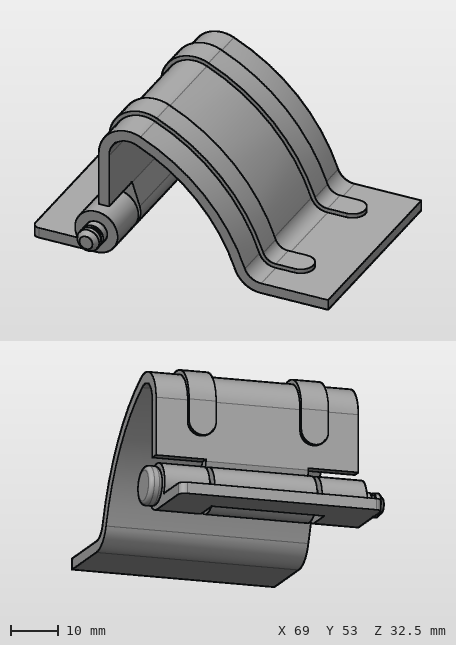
import cadquery as cq
import math


length = 69
width = 45.0
sheet = 2.4
knuckle_radius = 5.0
pin_radius = knuckle_radius - sheet
base_bottom = -knuckle_radius
base_top = base_bottom + sheet

flat_leaf_end = -15.0
corner_radius = 1.5
slot_length = 25.0
slot_end = -6.35

arched_leaf_end = flat_leaf_end + length
wall_outer = 0.55
wall_inner = wall_outer + sheet
wall_bottom = 7.0
crown_radius = 7.0
crown_center = (wall_outer + crown_radius, 19.5)
valley_radius = 4.0
valley_center = (38.35, base_top + valley_radius)
arch_radius = 44.15
center_knuckle_length = 22.8

band_height = 1.0
band_width = 6.0
band_spacing = 25.0
band_bottom = 11.95
band_end = 45.8

head_length = 3.05
head_radius = 4.2
head_fillet = 1.0
tail_length = 5.0
groove_start = 1.9
groove_length = 1.0
groove_radius = 2.1
tip_length = 1.05
tip_radius = 1.5


def along_y(profile, depth, middle=0):
    """Extrude an XZ profile to the given depth, centered on Y = middle."""
    return profile.extrude(depth / 2, both=True).translate((0, middle, 0))


def block(x_range, y_range, z_range):
    """Box given by its lower and upper limits on each axis."""
    lows, highs = zip(x_range, y_range, z_range)
    sizes = [high - low for low, high in zip(lows, highs)]
    return cq.Workplane("XY").box(*sizes, centered=False).translate(lows)


def cylinder(radius, depth):
    return along_y(cq.Workplane("XZ").circle(radius), depth)


def polar(center, radius, angle):
    """Point at an angle, in radians from +X, on a circle in the XZ plane."""
    return (center[0] + radius * math.cos(angle), center[1] + radius * math.sin(angle))


def find_arch():
    """Arch center, tangent to the crown inside it and to the valley outside it.

    Also returns the angles, seen from that center, where it meets each of them.
    """
    to_crown = arch_radius - crown_radius
    to_valley = arch_radius + valley_radius
    dx = valley_center[0] - crown_center[0]
    dz = valley_center[1] - crown_center[1]
    span = math.hypot(dx, dz)
    cosine = (to_crown**2 + span**2 - to_valley**2) / (2 * to_crown * span)
    center = polar(crown_center, to_crown, math.atan2(dz, dx) - math.acos(cosine))
    crown_angle = math.atan2(crown_center[1] - center[1], crown_center[0] - center[0])
    valley_angle = math.atan2(valley_center[1] - center[1], valley_center[0] - center[0])
    return center, crown_angle, valley_angle


arch_center, crown_angle, valley_angle = find_arch()


def arch_points(offset):
    """Points of the bent line lying at an offset outward from the outer sheet face.

    Ordered from the wall to the base, with a middle point for each arc.
    """
    crown = crown_radius + offset
    arch = arch_radius + offset
    valley = valley_radius - offset
    valley_start = valley_angle + math.pi
    valley_stop = 1.5 * math.pi
    return [
        (crown_center[0] - crown, crown_center[1]),
        polar(crown_center, crown, (math.pi + crown_angle) / 2),
        polar(crown_center, crown, crown_angle),
        polar(arch_center, arch, (crown_angle + valley_angle) / 2),
        polar(arch_center, arch, valley_angle),
        polar(valley_center, valley, (valley_start + valley_stop) / 2),
        polar(valley_center, valley, valley_stop),
    ]


def bent_strip(outer_offset, inner_offset, bottom, end):
    """XZ profile of the arched strip between two offsets of the outer sheet face."""
    outer = arch_points(outer_offset)
    inner = arch_points(inner_offset)[::-1]
    profile = cq.Workplane("XZ").moveTo(outer[0][0], bottom).lineTo(*outer[0])
    for middle, stop in zip(outer[1::2], outer[2::2]):
        profile = profile.threePointArc(middle, stop)
    profile = profile.lineTo(end, outer[-1][1]).lineTo(end, inner[0][1]).lineTo(*inner[0])
    for middle, stop in zip(inner[1::2], inner[2::2]):
        profile = profile.threePointArc(middle, stop)
    return profile.lineTo(inner[-1][0], bottom).close()


def make_flat_leaf():
    """Slotted plate with a knuckle at each end of the hinge line."""
    half_width = width / 2
    plate = block((flat_leaf_end, 0), (-half_width, half_width), (base_bottom, base_top))
    plate = plate.edges("|Z and <X").fillet(corner_radius)
    leaf = plate.union(cylinder(knuckle_radius, width))
    half_slot = slot_length / 2
    slot = block(
        (slot_end, knuckle_radius), (-half_slot, half_slot), (base_bottom, knuckle_radius)
    )
    return leaf.cut(slot).cut(cylinder(pin_radius, width))


def make_band(y):
    """Raised band that follows the outer sheet face and has round ends."""
    band = along_y(bent_strip(band_height, 0, band_bottom, band_end), band_width, y)
    end_radius = band_width / 2
    wall_end = (
        cq.Workplane("YZ")
        .moveTo(y - end_radius, crown_center[1] + crown_radius + band_height)
        .lineTo(y - end_radius, band_bottom + end_radius)
        .threePointArc((y, band_bottom), (y + end_radius, band_bottom + end_radius))
        .lineTo(y + end_radius, crown_center[1] + crown_radius + band_height)
        .close()
        .extrude(crown_center[0] - wall_outer + band_height)
        .translate((wall_outer - band_height, 0, 0))
    )
    base_end = (
        cq.Workplane("XY")
        .moveTo(crown_center[0], y - end_radius)
        .lineTo(band_end - end_radius, y - end_radius)
        .threePointArc((band_end, y), (band_end - end_radius, y + end_radius))
        .lineTo(crown_center[0], y + end_radius)
        .close()
        .extrude(crown_center[1] + crown_radius + band_height - base_top)
        .translate((0, 0, base_top))
    )
    return band.intersect(wall_end.union(base_end))


def make_neck():
    """Bent neck from the wall down to the center knuckle, tangent to its +X side."""
    distance = math.hypot(wall_inner, wall_bottom)
    tangent_angle = math.atan2(wall_bottom, wall_inner) - math.acos(knuckle_radius / distance)
    miter_bottom = wall_bottom - sheet * math.tan(tangent_angle / 2)
    profile = (
        cq.Workplane("XZ")
        .moveTo(wall_inner, wall_bottom)
        .lineTo(*polar((0, 0), knuckle_radius, tangent_angle))
        .lineTo(*polar((0, 0), pin_radius, tangent_angle))
        .lineTo(wall_outer, miter_bottom)
        .lineTo(wall_outer, wall_bottom)
        .close()
    )
    return along_y(profile, center_knuckle_length)


def make_arched_leaf():
    """Arched sheet with two raised bands and the center knuckle."""
    leaf = along_y(bent_strip(0, -sheet, wall_bottom, arched_leaf_end), width)
    for y in (-band_spacing / 2, band_spacing / 2):
        leaf = leaf.union(make_band(y))
    leaf = leaf.union(make_neck()).union(cylinder(knuckle_radius, center_knuckle_length))
    return leaf.cut(cylinder(pin_radius, width))


def make_pin():
    """Headed pin with a retaining groove and a tapered tip at its -Y end."""
    head_face = width / 2
    head_end = head_face + head_length
    tail_face = -width / 2
    tail_end = tail_face - tail_length
    groove_top = tail_face - groove_start
    groove_bottom = groove_top - groove_length
    pin_body = (
        cq.Workplane("XY")
        .moveTo(0, tail_end)
        .lineTo(tip_radius, tail_end)
        .lineTo(pin_radius, tail_end + tip_length)
        .lineTo(pin_radius, groove_bottom)
        .lineTo(groove_radius, groove_bottom)
        .lineTo(groove_radius, groove_top)
        .lineTo(pin_radius, groove_top)
        .lineTo(pin_radius, head_face)
        .lineTo(head_radius, head_face)
        .lineTo(head_radius, head_end)
        .lineTo(0, head_end)
        .close()
        .revolve(360, (0, 0, 0), (0, 1, 0))
    )
    head_rims = cq.selectors.RadiusNthSelector(-1)
    return pin_body.edges("%CIRCLE").edges(head_rims).fillet(head_fillet)


flat_leaf = make_flat_leaf()
arched_leaf = make_arched_leaf()
pin = make_pin()

result = cq.Compound.makeCompound([flat_leaf.val(), arched_leaf.val(), pin.val()])